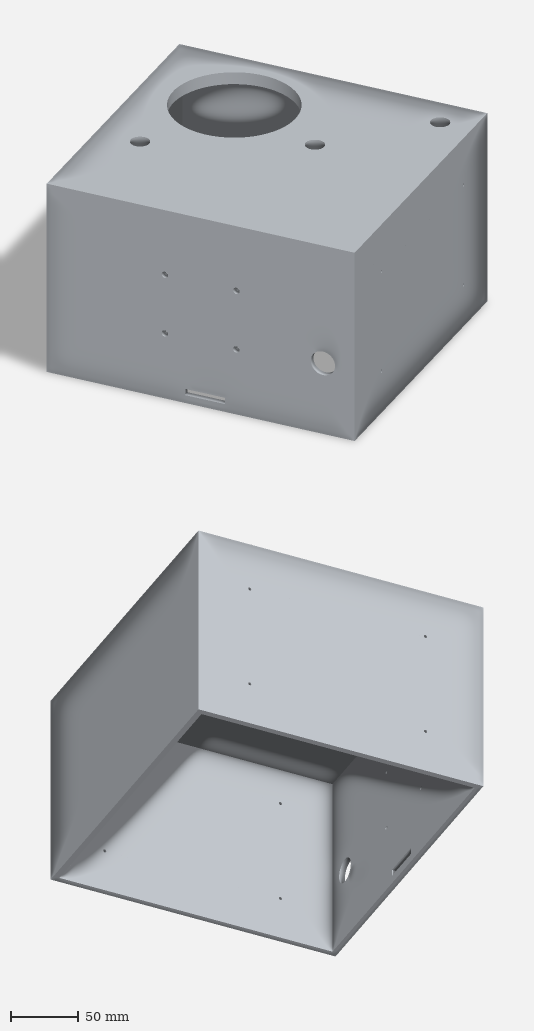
import cadquery as cq

length = 252.0
depth = 235.0
height = 160.0
wall = 4.8
top_thickness = 10.0
cut_margin = 2.5

large_opening_diameter = 100.0
large_opening_center = (76.0, 167.5)
top_hole_diameter = 15.0
top_hole_centers = [(36.0, 87.5), (156.0, 137.5), (226.0, 207.6)]

cable_hole_diameter = 20.0
cable_hole_center = (226.0, 60.0)
slot_length = 33.0
slot_height = 5.3
slot_center = (129.5, 9.3)

screw_hole_diameter = 2.8
screw_head_diameter = 5.3
screw_head_depth = 2.8
screw_spacing_x = 58.5
screw_spacing_z = 50.0
screw_pattern_center = (126.0, 80.1)

pilot_diameter = 2.5
pilot_spacing_y = 145.2
pilot_spacing_z = 85.0
pilot_pattern_center = (120.2, 77.5)


def make_box():
    """Box with a closed top, four walls and an open bottom."""
    outer = cq.Workplane("XY").box(length, depth, height, centered=False)
    cavity = cq.Workplane("XY", origin=(wall, wall, 0)).box(
        length - 2 * wall, depth - 2 * wall, height - top_thickness, centered=False
    )
    return outer.cut(cavity)


def top_cutter(centers, diameter):
    """Vertical cylinders that pass through the top panel."""
    return (
        cq.Workplane("XY", origin=(0, 0, height - top_thickness - cut_margin))
        .pushPoints(centers)
        .circle(diameter / 2)
        .extrude(top_thickness + 2 * cut_margin)
    )


def front_plane():
    """Plane on the front face: local X is X and local Y is Z."""
    return cq.Workplane("XZ")


box = make_box()
box = box.cut(top_cutter([large_opening_center], large_opening_diameter))
box = box.cut(top_cutter(top_hole_centers, top_hole_diameter))

cable_hole = front_plane().center(*cable_hole_center).circle(cable_hole_diameter / 2).extrude(-wall)
slot = front_plane().center(*slot_center).rect(slot_length, slot_height).extrude(-wall)
box = box.cut(cable_hole).cut(slot)

box = (
    box.copyWorkplane(front_plane())
    .center(*screw_pattern_center)
    .rect(screw_spacing_x, screw_spacing_z, forConstruction=True)
    .vertices()
    .cboreHole(screw_hole_diameter, screw_head_diameter, screw_head_depth, depth=wall)
)

pilot_holes = (
    cq.Workplane("YZ")
    .center(*pilot_pattern_center)
    .rect(pilot_spacing_y, pilot_spacing_z, forConstruction=True)
    .vertices()
    .circle(pilot_diameter / 2)
    .extrude(length)
)
result = box.cut(pilot_holes)